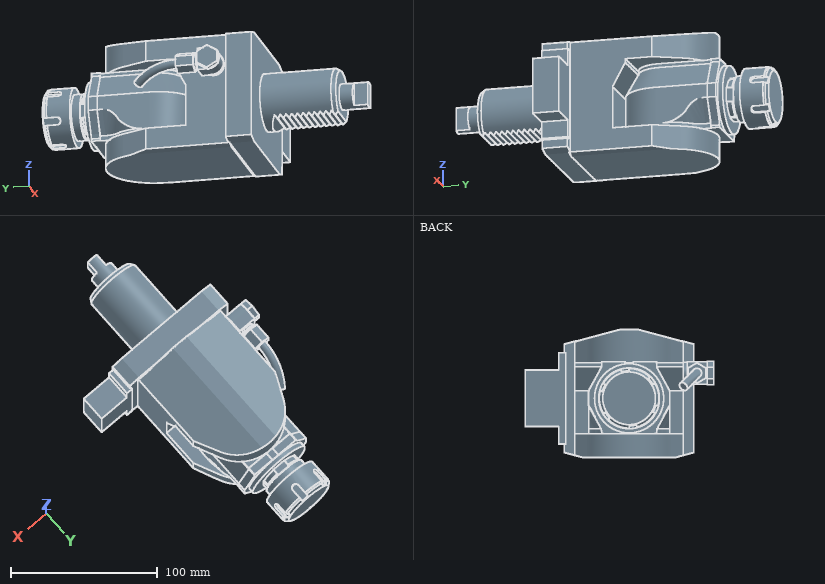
import cadquery as cq
import math


SHANK_D = 40.0
SHANK_LENGTH = 53.0
SHANK_CHAMFER_LENGTH = 3.0
SHANK_CHAMFER_DEPTH = 1.8
TANG_D = 18.0
TANG_ROUND_END = 62.4
TANG_END = 72.0
TANG_THICKNESS = 8.2

SERRATION_PITCH = 4.0
SERRATION_COUNT = 11
SERRATION_ROOT_Z = -13.9
SERRATION_CREST_Z = -16.0
FLAT_START = 9.0
FLAT_RUNOUT_START = 5.0

FLANGE_WIDTH = 88.5
FLANGE_HEIGHT = 78.5
FLANGE_THICKNESS = 18.0
FLANGE_CORNER_WIDTH = 8.25
ROOF_ANGLE = 15.0
ROOF_SLOPE = math.tan(math.radians(ROOF_ANGLE))

BLOCK_BACK = 0.7
BLOCK_FRONT = 19.4
SPACER_END_X = 48.0
SPACER_HEIGHT = 62.4
BLOCK_END_X = 70.9
BLOCK_HEIGHT = 38.8

BODY_HALF_WIDTH = 37.0
BODY_TOP = 47.0
BODY_BOTTOM = -40.5
BODY_ROOF_HALF_FLAT = 6.2
BODY_FLOOR_HALF_FLAT = 31.5
BODY_FLANK_END = 75.8
BODY_NOSE_R = 31.5
BODY_NOSE_END = 112.3
BODY_ROOF_BACK = 18.8

HEAD_R = 27.7
HEAD_PIVOT_Y = 75.6
HEAD_FRONT = 118.6
HEAD_BOTTOM = -24.1
HEAD_TOP = 24.2
HEAD_CONE_BOTTOM = 5.0
HEAD_CONE_TOP = 21.5
HEAD_TOP_R = 18.7
FRONT_PLATE_BACK = 112.4
FRONT_PLATE_TOP = 24.8
FRONT_PLATE_HALF_WIDTH = 27.8
FRONT_PLATE_BEVEL_LOW = 19.6
FRONT_PLATE_BEVEL_HIGH = 22.5
FRONT_PLATE_SLOT_WIDTH = 5.4

RELIEF_TOP = -4.8
RELIEF_FLOOR = -20.6
RELIEF_HALF_WIDTH = 18.0
RELIEF_STRAIGHT_END = 108.7
RELIEF_RUNOUT_CREASE = 97.0
RELIEF_RUNOUT_END = 81.4
RELIEF_CREASE_OFFSET = 5.3

COVER_D = 47.24
COVER_FRONT = 122.2
NECK_D = 28.2
NECK_GROOVE_D = 26.6
NECK_GROOVE_START = 126.0
NECK_KEY_WIDTH = 9.8
COLLAR_D = 32.0
COLLAR_BACK = 127.5
NUT_D = 41.5
NUT_BACK = 133.4
NUT_FRONT = 153.19
NUT_LIP_BACK = 149.8
NUT_LIP_D = 40.7
NUT_SHOULDER = 151.3
NUT_FRONT_D = 36.0
NUT_GROOVE_WIDTH = 5.2
NUT_GROOVE_DEPTH = 2.0
NUT_GROOVE_END = 140.3
NUT_GROOVE_COUNT = 6
NUT_GROOVE_PHASE = 8.0

ELBOW_Y = 28.0
ELBOW_Z = 17.25
ELBOW_R = 7.7
ELBOW_OUTER_X = -53.4
ELBOW_INNER_X = -39.8
ELBOW_SEAT_D = 14.5
CAP_OUTER_X = -57.8
CAP_ACROSS_FLATS = 14.0
BRANCH_X = -46.3
BRANCH_D = 8.2
BRANCH_RING_D = 9.8
RING_START = 37.4
RING_END = 39.0
BRANCH_NUT_END = 51.3
BRANCH_NUT_ACROSS_FLATS = 12.0
PIPE_D = 6.37
PIPE_BEND_R = 41.0
PIPE_BEND_ANGLE = 47.0

OVERLAP = 1.0


def box(x0, x1, y0, y1, z0, z1):
    """Axis-aligned box between two corners."""
    return cq.Workplane("XY").box(x1 - x0, y1 - y0, z1 - z0, centered=False).translate((x0, y0, z0))


def section_xz(y_back, y_front):
    """XZ sketch plane at y_back and the signed distance that extrudes it to y_front."""
    plane = cq.Workplane("XZ", origin=(0, y_back, 0))
    return plane, y_back - y_front


def cylinder_y(diameter, y_back, y_front, x=0.0, z=0.0):
    plane, distance = section_xz(y_back, y_front)
    return plane.center(x, z).circle(diameter / 2).extrude(distance)


def hexagon(workplane, across_flats):
    """Hexagon with two corners on the local vertical axis."""
    half_side_angle = math.pi / 6
    corner_r = across_flats / 2 / math.cos(half_side_angle)
    corners = []
    for i in range(6):
        angle = half_side_angle * (1 + 2 * i)
        corners.append((corner_r * math.cos(angle), corner_r * math.sin(angle)))
    return workplane.polyline(corners).close()


def make_shank():
    r = SHANK_D / 2
    outline = [
        (0, OVERLAP),
        (r, OVERLAP),
        (r, SHANK_CHAMFER_LENGTH - SHANK_LENGTH),
        (r - SHANK_CHAMFER_DEPTH, -SHANK_LENGTH),
        (0, -SHANK_LENGTH),
    ]
    shank = cq.Workplane("XY").polyline(outline).close().revolve(360, (0, 0, 0), (0, 1, 0))
    return shank.cut(make_serration_cutter())


def make_serration_cutter():
    """Everything below the serrated flat, as a profile along Y drawn in the YZ plane."""
    below = -SHANK_D
    profile = [(-FLAT_RUNOUT_START, below), (-FLAT_RUNOUT_START, -SHANK_D / 2)]
    for i in range(SERRATION_COUNT):
        root_y = -FLAT_START - i * SERRATION_PITCH
        profile.append((root_y, SERRATION_ROOT_Z))
        profile.append((root_y - SERRATION_PITCH / 2, SERRATION_CREST_Z))
    profile.append((-SHANK_LENGTH, SERRATION_ROOT_Z))
    profile.append((-SHANK_LENGTH, below))
    return cq.Workplane("YZ").polyline(profile).close().extrude(SHANK_D, both=True)


def make_tang():
    root = cylinder_y(TANG_D, -TANG_ROUND_END, OVERLAP - SHANK_LENGTH)
    blade = cylinder_y(TANG_D, -TANG_END, -TANG_ROUND_END)
    half = TANG_THICKNESS / 2
    blade = blade.intersect(box(-half, half, -TANG_END, -TANG_ROUND_END, -TANG_D, TANG_D))
    return root.union(blade)


def make_flange():
    half_w = FLANGE_WIDTH / 2
    half_h = FLANGE_HEIGHT / 2
    flat = half_w - FLANGE_CORNER_WIDTH
    side = half_h - FLANGE_CORNER_WIDTH * ROOF_SLOPE
    outline = [
        (-flat, half_h), (flat, half_h), (half_w, side), (half_w, -side),
        (flat, -half_h), (-flat, -half_h), (-half_w, -side), (-half_w, side),
    ]
    plane, distance = section_xz(0, FLANGE_THICKNESS)
    return plane.polyline(outline).close().extrude(distance)


def make_side_block():
    inner_x = FLANGE_WIDTH / 2 - OVERLAP
    spacer = box(inner_x, SPACER_END_X, BLOCK_BACK, BLOCK_FRONT, -SPACER_HEIGHT / 2, SPACER_HEIGHT / 2)
    block = box(inner_x, BLOCK_END_X, BLOCK_BACK, BLOCK_FRONT, -BLOCK_HEIGHT / 2, BLOCK_HEIGHT / 2)
    return spacer.union(block)


def make_body():
    """Plan with a round nose and tangent flanks, under a ridged roof and over a bevelled floor."""
    nose_y = BODY_NOSE_END - BODY_NOSE_R
    drop = nose_y - BODY_FLANK_END
    reach = math.hypot(BODY_HALF_WIDTH, drop)
    tangent_angle = math.acos(BODY_NOSE_R / reach) - math.atan2(drop, BODY_HALF_WIDTH)
    tangent_x = BODY_NOSE_R * math.cos(tangent_angle)
    tangent_y = nose_y + BODY_NOSE_R * math.sin(tangent_angle)
    back = FLANGE_THICKNESS - OVERLAP
    plan = (
        cq.Workplane("XY", origin=(0, 0, BODY_BOTTOM))
        .moveTo(-BODY_HALF_WIDTH, back)
        .lineTo(BODY_HALF_WIDTH, back)
        .lineTo(BODY_HALF_WIDTH, BODY_FLANK_END)
        .lineTo(tangent_x, tangent_y)
        .threePointArc((0, BODY_NOSE_END), (-tangent_x, tangent_y))
        .lineTo(-BODY_HALF_WIDTH, BODY_FLANK_END)
        .close()
        .extrude(BODY_TOP - BODY_BOTTOM)
    )
    roof_side = BODY_TOP - (BODY_HALF_WIDTH - BODY_ROOF_HALF_FLAT) * ROOF_SLOPE
    floor_side = BODY_BOTTOM + (BODY_HALF_WIDTH - BODY_FLOOR_HALF_FLAT) * ROOF_SLOPE
    end_outline = [
        (-BODY_ROOF_HALF_FLAT, BODY_TOP), (BODY_ROOF_HALF_FLAT, BODY_TOP),
        (BODY_HALF_WIDTH, roof_side), (BODY_HALF_WIDTH, floor_side),
        (BODY_FLOOR_HALF_FLAT, BODY_BOTTOM), (-BODY_FLOOR_HALF_FLAT, BODY_BOTTOM),
        (-BODY_HALF_WIDTH, floor_side), (-BODY_HALF_WIDTH, roof_side),
    ]
    plane, distance = section_xz(back, BODY_NOSE_END)
    body = plan.intersect(plane.polyline(end_outline).close().extrude(distance))
    roof_step = box(-BODY_HALF_WIDTH, BODY_HALF_WIDTH, back, BODY_ROOF_BACK, roof_side, BODY_TOP)
    return body.cut(roof_step).cut(make_head_pocket())


def head_half_section():
    """Right half of the head's cross-section, as (distance from the centre plane, Z)."""
    return [
        (0, HEAD_BOTTOM), (HEAD_R, HEAD_BOTTOM), (HEAD_R, HEAD_CONE_BOTTOM),
        (HEAD_TOP_R, HEAD_CONE_TOP), (HEAD_TOP_R, HEAD_TOP), (0, HEAD_TOP),
    ]


def make_head_pocket():
    """Opening right across the body, shaped like the rear silhouette of the head."""
    profile = [(HEAD_PIVOT_Y - distance, z) for distance, z in head_half_section()[1:-1]]
    profile.append((HEAD_FRONT, HEAD_TOP))
    profile.append((HEAD_FRONT, HEAD_BOTTOM))
    return cq.Workplane("YZ").polyline(profile).close().extrude(BODY_HALF_WIDTH + OVERLAP, both=True)


def tangent_arc_middle(x, y, offset_x, offset_y):
    """Middle of the arc that leaves (x, y) along Y and ends offset_x, offset_y away."""
    half_angle = math.atan2(abs(offset_x), abs(offset_y))
    radius = math.hypot(offset_x, offset_y) / (2 * math.sin(half_angle))
    return (
        x + math.copysign(radius * (1 - math.cos(half_angle)), offset_x),
        y + math.copysign(radius * math.sin(half_angle), offset_y),
    )


def make_relief_cutter():
    """Corner cut on the -X side: a sloped wall above an upright one, both curving out at the rear."""
    floor_x = -RELIEF_HALF_WIDTH
    side_x = -HEAD_R
    outer_x = -2 * HEAD_R
    crease_x = floor_x - RELIEF_CREASE_OFFSET
    front_run = RELIEF_RUNOUT_CREASE - RELIEF_STRAIGHT_END
    rear_run = RELIEF_RUNOUT_CREASE - RELIEF_RUNOUT_END
    plan = (
        cq.Workplane("XY", origin=(0, 0, RELIEF_FLOOR))
        .moveTo(floor_x, HEAD_FRONT)
        .lineTo(floor_x, RELIEF_STRAIGHT_END)
        .threePointArc(
            tangent_arc_middle(floor_x, RELIEF_STRAIGHT_END, -RELIEF_CREASE_OFFSET, front_run),
            (crease_x, RELIEF_RUNOUT_CREASE),
        )
        .threePointArc(
            tangent_arc_middle(side_x, RELIEF_RUNOUT_END, crease_x - side_x, rear_run),
            (side_x, RELIEF_RUNOUT_END),
        )
        .lineTo(outer_x, RELIEF_RUNOUT_END)
        .lineTo(outer_x, HEAD_FRONT)
        .close()
    )
    slope = cq.Vector(side_x - floor_x, 0, RELIEF_TOP - RELIEF_FLOOR)
    upper = cq.Workplane(obj=cq.Solid.makeLoft([plan.val(), plan.val().translate(slope)], True))
    return upper.union(plan.extrude(HEAD_BOTTOM - RELIEF_FLOOR))


def make_front_plate():
    """Cap on the front of the head, slightly proud of it, with bevelled corners and a slotted top."""
    slope = (HEAD_R - HEAD_TOP_R) / (HEAD_CONE_TOP - HEAD_CONE_BOTTOM)
    bevel_x = HEAD_TOP_R + (HEAD_CONE_TOP - FRONT_PLATE_BEVEL_LOW) * slope
    upper = [
        (FRONT_PLATE_HALF_WIDTH, HEAD_CONE_BOTTOM), (bevel_x, FRONT_PLATE_BEVEL_LOW),
        (HEAD_TOP_R, FRONT_PLATE_BEVEL_HIGH), (HEAD_TOP_R, FRONT_PLATE_TOP),
    ]
    lower = [
        (HEAD_TOP_R, HEAD_BOTTOM), (HEAD_TOP_R, -FRONT_PLATE_BEVEL_HIGH),
        (bevel_x, -FRONT_PLATE_BEVEL_LOW), (FRONT_PLATE_HALF_WIDTH, RELIEF_TOP),
    ]
    half = lower + upper
    mirrored = [(-x, z) for x, z in reversed(half)]
    plane, distance = section_xz(FRONT_PLATE_BACK, HEAD_FRONT)
    plate = plane.polyline(half + mirrored).close().extrude(distance)
    half_slot = FRONT_PLATE_SLOT_WIDTH / 2
    return plate.cut(box(-half_slot, half_slot, FRONT_PLATE_BACK, HEAD_FRONT, HEAD_TOP, FRONT_PLATE_TOP))


def make_head():
    section = head_half_section()
    mirrored = [(-x, z) for x, z in reversed(section[1:-1])]
    plane, distance = section_xz(HEAD_PIVOT_Y, HEAD_FRONT)
    front = plane.polyline(section[1:-1] + mirrored).close().extrude(distance)
    rear = plane.polyline(section).close().revolve(360, (0, 0, 0), (0, 1, 0))
    relief = make_relief_cutter()
    head = front.union(rear).cut(relief).cut(relief.mirror("YZ"))
    return head.union(make_front_plate())


def make_spindle():
    spindle = cylinder_y(COVER_D, HEAD_FRONT - OVERLAP, COVER_FRONT)
    spindle = spindle.union(cylinder_y(NECK_D, COVER_FRONT - OVERLAP, NECK_GROOVE_START))
    spindle = spindle.union(cylinder_y(NECK_GROOVE_D, NECK_GROOVE_START - OVERLAP, COLLAR_BACK + OVERLAP))
    half_key = NECK_KEY_WIDTH / 2
    reach = NECK_D / 2
    spindle = spindle.union(box(-half_key, half_key, COVER_FRONT, COLLAR_BACK, -reach, reach))
    spindle = spindle.union(box(-reach, reach, COVER_FRONT, COLLAR_BACK, -half_key, half_key))
    spindle = spindle.union(cylinder_y(COLLAR_D, COLLAR_BACK, NUT_BACK + OVERLAP))
    return spindle.union(make_clamping_nut())


def make_clamping_nut():
    r = NUT_D / 2
    outline = [
        (0, NUT_BACK), (r, NUT_BACK), (r, NUT_LIP_BACK), (NUT_LIP_D / 2, NUT_LIP_BACK),
        (NUT_LIP_D / 2, NUT_SHOULDER), (NUT_FRONT_D / 2, NUT_FRONT), (0, NUT_FRONT),
    ]
    nut = cq.Workplane("XY").polyline(outline).close().revolve(360, (0, 0, 0), (0, 1, 0))
    end_y = NUT_GROOVE_END + NUT_GROOVE_WIDTH / 2
    half = NUT_GROOVE_WIDTH / 2
    groove = (
        cq.Workplane("XY", origin=(0, 0, r - NUT_GROOVE_DEPTH))
        .moveTo(half, NUT_FRONT)
        .lineTo(half, end_y)
        .threePointArc((0, NUT_GROOVE_END), (-half, end_y))
        .lineTo(-half, NUT_FRONT)
        .close()
        .extrude(r)
    )
    for i in range(NUT_GROOVE_COUNT):
        angle = NUT_GROOVE_PHASE + i * 360 / NUT_GROOVE_COUNT
        nut = nut.cut(groove.rotate((0, 0, 0), (0, 1, 0), angle))
    return nut


def make_elbow():
    """Elbow on the -X side: hexagon cap, round and square body, branch towards +Y."""
    def section_yz(x):
        return cq.Workplane("YZ", origin=(x, ELBOW_Y, ELBOW_Z))

    length = ELBOW_INNER_X - ELBOW_OUTER_X
    cap = hexagon(section_yz(CAP_OUTER_X), CAP_ACROSS_FLATS).extrude(ELBOW_OUTER_X - CAP_OUTER_X)
    elbow = cap.union(section_yz(ELBOW_OUTER_X).circle(ELBOW_R).extrude(length))
    square = box(
        ELBOW_OUTER_X, ELBOW_INNER_X, ELBOW_Y, ELBOW_Y + ELBOW_R, ELBOW_Z - ELBOW_R, ELBOW_Z + ELBOW_R
    )
    elbow = elbow.union(square)
    seat_length = OVERLAP - BODY_HALF_WIDTH - ELBOW_INNER_X
    elbow = elbow.union(section_yz(ELBOW_INNER_X).circle(ELBOW_SEAT_D / 2).extrude(seat_length))
    elbow = elbow.union(cylinder_y(BRANCH_D, ELBOW_Y, RING_START + OVERLAP, BRANCH_X, ELBOW_Z))
    elbow = elbow.union(cylinder_y(BRANCH_RING_D, RING_START, RING_END, BRANCH_X, ELBOW_Z))
    plane, distance = section_xz(RING_END, BRANCH_NUT_END)
    nut = hexagon(plane.center(BRANCH_X, ELBOW_Z), BRANCH_NUT_ACROSS_FLATS).extrude(distance)
    return elbow.union(nut).union(make_pipe())


def make_pipe():
    """Nozzle pipe that bends from +Y, inwards and downwards in equal parts."""
    plane, _ = section_xz(BRANCH_NUT_END, 0)
    axis_offset = PIPE_BEND_R / math.sqrt(2)
    start = plane.center(BRANCH_X, ELBOW_Z).circle(PIPE_D / 2)
    axis_start = (axis_offset, -axis_offset, 0)
    axis_end = (axis_offset + 1, 1 - axis_offset, 0)
    return start.revolve(PIPE_BEND_ANGLE, axis_end, axis_start)


result = make_flange()
for piece in (
    make_shank(), make_tang(), make_side_block(), make_body(), make_head(), make_spindle(), make_elbow()
):
    result = result.union(piece)